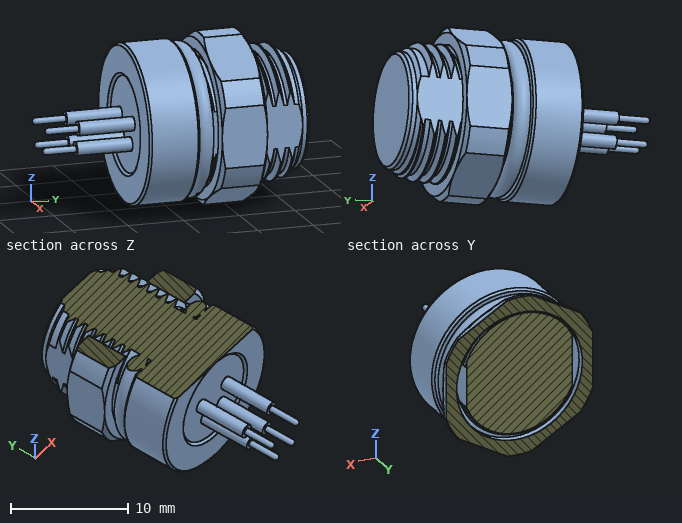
import cadquery as cq
import math


flange_radius = 7.003
flange_length = 4.55
flange_chamfer = 0.2
recess_radius = 4.43
recess_depth = 0.23

ring_tube_radius = 0.75
ring_outer_radius = 6.76
ring_seating = 0.02
ring_major_radius = ring_outer_radius - ring_tube_radius
ring_centre = flange_length + ring_tube_radius - ring_seating

barrel_end = 15.03
barrel_radius = 5.4
nose_radius = 5.06
nose_length = 0.65
nose_chamfer = 0.25
flat_distance = nose_radius
nose_start = barrel_end - nose_length
shoulder_end = nose_start - (barrel_radius - nose_radius)

pitch = 1.0
lead_turns = 1
full_turns = 6
tail_turns = 0.7
thread_start = 6.17
thread_start_angle = 15.0
thread_root_overlap = 0.07
crest_width = pitch / 8
root_width = pitch * 3 / 4
flank_slope = math.tan(math.radians(30))
thread_depth = (root_width - crest_width) / 2 / flank_slope
crest_radius = barrel_radius + thread_depth
points_per_turn = 24

sleeve_radius = 0.61
sleeve_end = -4.72
tip_radius = 0.32
tip_end = -7.67
upper_pin_x = 1.7
upper_pin_z = 0.5
lower_pin_x = 1.1
lower_pin_z = -1.45
pin_places = [
    (-upper_pin_x, upper_pin_z),
    (upper_pin_x, upper_pin_z),
    (-lower_pin_x, lower_pin_z),
    (lower_pin_x, lower_pin_z),
]

nut_across_flats = 2 * flange_radius
nut_corner_radius = 7.5
nut_bore_clearance = 0.02
nut_bore_radius = crest_radius + nut_bore_clearance
nut_start = 6.5
nut_length = 4.06
nut_chamfer_length = 0.3
nut_end = nut_start + nut_length


def revolved(profile):
    """Turn a closed profile of (radius, y) points about the Y axis."""
    return profile.close().revolve(360, (0, 0, 0), (0, 1, 0))


def make_barrel():
    """Flange and barrel in one turned shape."""
    front_edge = flange_radius - flange_chamfer
    points = [
        (0, recess_depth),
        (recess_radius - recess_depth, recess_depth),
        (recess_radius, 0),
        (front_edge, 0),
        (flange_radius, flange_chamfer),
        (flange_radius, flange_length - flange_chamfer),
        (front_edge, flange_length),
        (barrel_radius, flange_length),
        (barrel_radius, shoulder_end),
        (nose_radius, nose_start),
        (nose_radius, barrel_end - nose_chamfer),
        (nose_radius - nose_chamfer, barrel_end),
        (0, barrel_end),
    ]
    return revolved(cq.Workplane("XY").polyline(points))


def helix_edge(first_turn, turns, start_radius, end_radius, offset):
    """Right-handed helix about Y whose radius changes evenly from start to end."""
    steps = round(points_per_turn * turns)
    points = []
    for step in range(steps + 1):
        t = step / steps
        turn = first_turn + t * turns
        angle = math.radians(thread_start_angle) + 2 * math.pi * turn
        radius = start_radius + t * (end_radius - start_radius)
        height = thread_start + pitch * turn + offset
        points.append(cq.Vector(radius * math.sin(angle), height, radius * math.cos(angle)))
    return cq.Edge.makeSpline(points)


def make_ridge(first_turn, turns, start_sink, end_sink):
    """Thread ridge with a trapezoid section, sunk into the barrel by the given depth at each end."""
    root_radius = barrel_radius - thread_root_overlap
    half_crest = crest_width / 2
    half_root = root_width / 2 + thread_root_overlap * flank_slope
    corners = [
        (root_radius, -half_root),
        (crest_radius, -half_crest),
        (crest_radius, half_crest),
        (root_radius, half_root),
    ]
    edges = [
        helix_edge(first_turn, turns, radius - start_sink, radius - end_sink, offset)
        for radius, offset in corners
    ]
    faces = [cq.Face.makeRuledSurface(edges[i - 1], edges[i]) for i in range(len(edges))]
    for end_points in ([e.startPoint() for e in edges], [e.endPoint() for e in edges]):
        faces.append(cq.Face.makeFromWires(cq.Wire.makePolygon(end_points, close=True)))
    return cq.Workplane(cq.Solid.makeSolid(cq.Shell.makeShell(faces)).fix())


def make_flat_cutter():
    """Two blocks that shave the barrel and its thread flat on the -X and +X sides."""
    width = flange_radius - flat_distance
    length = barrel_end - flange_length
    return (
        cq.Workplane("XY")
        .pushPoints([(side * (flat_distance + width / 2), flange_length + length / 2) for side in (-1, 1)])
        .rect(width, length)
        .extrude(flange_radius, both=True)
    )


def make_ring():
    """Sealing ring around the barrel, just behind the flange."""
    circle = cq.Workplane("XY").center(ring_major_radius, ring_centre).circle(ring_tube_radius)
    return circle.revolve(360, (-ring_major_radius, 0, 0), (-ring_major_radius, 1, 0))


def make_pin(x, z):
    """One contact pin standing on the floor of the recess."""
    profile = (
        cq.Workplane("XY")
        .moveTo(0, recess_depth)
        .lineTo(sleeve_radius, recess_depth)
        .lineTo(sleeve_radius, sleeve_end)
        .lineTo(tip_radius, sleeve_end)
        .lineTo(tip_radius, tip_end + tip_radius)
        .radiusArc((0, tip_end), tip_radius)
    )
    return revolved(profile).translate((x, 0, z))


def make_connector():
    """Threaded housing with its sealing ring and contact pins."""
    connector = make_barrel()
    connector = connector.union(make_ridge(0, lead_turns, thread_depth, 0))
    connector = connector.union(make_ridge(lead_turns, full_turns, 0, 0))
    connector = connector.union(make_ridge(lead_turns + full_turns, tail_turns, 0, tail_turns * thread_depth))
    connector = connector.cut(make_flat_cutter())
    connector = connector.union(make_ring())
    for x, z in pin_places:
        connector = connector.union(make_pin(x, z))
    return connector


def make_nut():
    """Hexagon nut with rounded corners, chamfered end faces and a plain bore over the thread."""
    face_radius = nut_across_flats / 2
    across_corners = nut_across_flats / math.cos(math.radians(30))
    hexagon = (
        cq.Workplane("XZ", origin=(0, nut_end, 0))
        .transformed(rotate=(0, 0, 90))
        .polygon(6, across_corners)
        .circle(nut_bore_radius)
        .extrude(nut_length)
    )
    points = [
        (0, nut_start),
        (face_radius, nut_start),
        (nut_corner_radius, nut_start + nut_chamfer_length),
        (nut_corner_radius, nut_end - nut_chamfer_length),
        (face_radius, nut_end),
        (0, nut_end),
    ]
    return hexagon.intersect(revolved(cq.Workplane("XY").polyline(points)))


connector = make_connector()
nut = make_nut()

result = cq.Compound.makeCompound([connector.solids().val(), nut.solids().val()])